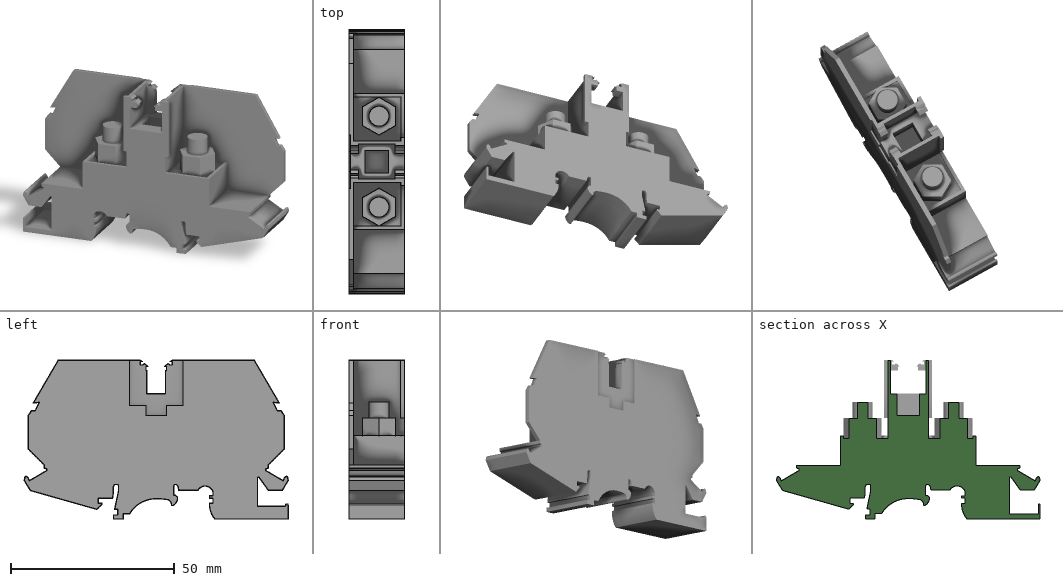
import cadquery as cq
import math


WIDTH = 17.0
LENGTH = 80.75
HEIGHT = 48.6
HALF_LENGTH = LENGTH / 2
WALL = 1.45

SHELF_TOP = 16.55
BLOCK_TOP = 25.5
BLOCK_HALF_LENGTH = 20.75

PARTITION_OUTER = 6.3
PARTITION_INNER = 5.3
CHANNEL_HALF = 2.8
CHANNEL_FLOOR = 38.35
POST_DEPTH = 3.0
HOOK_BOTTOM = 45.4
SOCKET_LENGTH_X = 7.1
SOCKET_LENGTH_Y = 6.9
SOCKET_DEPTH = 6.6

FLANGE_THICKNESS = 1.2
FLANGE_REACH = 7.35
FLANGE_BOTTOM = 30.85

RECESS_DEPTH = 0.5
RECESS_HALF = 8.15
RECESS_BOTTOM = 34.7
TONGUE_HALF = 3.1
TONGUE_BOTTOM = 31.7

POCKET_RIM = 1.05
POCKET_DEPTH = 0.8
NUT_FLATS = 10.0
NUT_TOP = 30.85
STUD_DIAMETER = 6.1
STUD_TOP = 35.8
STUD_X = 9.2
STUD_Y = 13.9

SLOT_FLOOR = 3.95
SLOT_INNER = 31.0
SLOT_ROOF = 12.75
SLOT_LIP_TOP = 4.7
SLOT_LIP = 0.7
TRAY_FLOOR = 1.6


def box(x0, x1, y0, y1, z0, z1):
    """Box between two corner positions."""
    return cq.Workplane("XY").box(x1 - x0, y1 - y0, z1 - z0, centered=False).translate((x0, y0, z0))


def on_both_sides(solid):
    """The solid together with its mirror image across the centre plane."""
    return solid.union(solid.mirror("XZ"))


def end_points(side):
    """(y, z) corners of one end, from the top edge down to the foot; side is +1 or -1 along Y."""
    half_profile = [
        (29.95, HEIGHT),
        (37.6, 35.45), (35.8, 35.7), (37.0, 33.2), (38.1, 33.2),
        (39.2, 31.65), (39.2, 21.5), (34.2, SHELF_TOP), (34.2, 15.6), (33.5, 15.35), (33.5, 14.85),
        (38.8, 11.8), (39.2, 12.75), (39.7, 13.2), (40.1, 12.9), (HALF_LENGTH, 11.9),
    ]
    return [(side * y, z) for y, z in half_profile]


def body_outline():
    """Closed outline of the whole part in the YZ plane, without the marker channel."""
    positive_end = end_points(1)
    negative_end = end_points(-1)
    outline = cq.Workplane("YZ").moveTo(*positive_end[0])
    outline = outline.polyline(positive_end[1:], includeCurrent=True)
    outline = outline.polyline([
        (38.4, 8.7), (18.2, 3.0), (16.6, 4.45), (16.6, 4.9), (17.7, 4.9), (17.7, 6.4),
        (13.3, 6.4), (13.1, 8.1), (13.1, 9.9), (12.75, 10.6), (11.7, 10.6), (11.55, 10.25),
        (11.55, 8.7), (12.75, 3.0), (11.8, 3.0), (11.8, 1.3), (13.1, 1.3), (13.1, 0),
        (10.0, 0), (10.0, 1.6), (8.15, 1.6),
    ], includeCurrent=True)
    outline = outline.threePointArc((5.6, 4.45), (0, 6.2))
    outline = outline.threePointArc((-2.0, 6.1), (-3.8, 5.9))
    outline = outline.threePointArc((-4.4, 5.3), (-4.6, 4.5))
    outline = outline.threePointArc((-5.0, 4.1), (-5.4, 4.4))
    outline = outline.threePointArc((-6.3, 5.4), (-6.55, 6.6))
    outline = outline.polyline([
        (-5.9, 7.35), (-5.4, 7.35), (-5.4, 10.25), (-5.6, 10.6), (-6.2, 10.6), (-6.6, 10.0),
        (-6.9, 8.8), (-12.75, 8.8),
    ], includeCurrent=True)
    outline = outline.threePointArc((-14.9, 10.1), (-17.3, 8.4))
    outline = outline.polyline([
        (-17.3, 7.2), (-16.2, 7.2), (-16.2, 6.4), (-17.3, 6.4), (-17.3, 4.9), (-16.2, 4.9), (-16.2, 4.0),
    ], includeCurrent=True)
    outline = outline.threePointArc((-16.7, 2.0), (-17.9, 0))
    outline = outline.polyline([
        (-HALF_LENGTH, 0), (-HALF_LENGTH, 4.1), (-40.2, SLOT_LIP_TOP),
        (-HALF_LENGTH + SLOT_LIP, SLOT_LIP_TOP), (-39.3, SLOT_FLOOR), (-SLOT_INNER, SLOT_FLOOR),
        (-SLOT_INNER, SLOT_ROOF), (-31.4, SLOT_ROOF), (-34.2, 8.8), (-38.5, 8.8),
    ], includeCurrent=True)
    outline = outline.polyline(negative_end[::-1], includeCurrent=True)
    return outline.close()


def space_above_body():
    """Everything behind the side wall above the shelves and blocks, beside the partitions."""
    above_shelf = box(WALL, WIDTH, BLOCK_HALF_LENGTH, HALF_LENGTH, SHELF_TOP, HEIGHT)
    above_block = box(WALL, WIDTH, PARTITION_OUTER, BLOCK_HALF_LENGTH, BLOCK_TOP, HEIGHT)
    flange = box(WIDTH - FLANGE_THICKNESS, WIDTH, PARTITION_OUTER, FLANGE_REACH, FLANGE_BOTTOM, HEIGHT)
    return on_both_sides(above_shelf.union(above_block).cut(flange))


def marker_channel():
    """Channel across the top with toothed sides, widened between the hook posts."""
    teeth = [
        (4.9, HEIGHT), (4.2, 48.1), (4.85, 48.1), (4.85, 47.15), (4.1, 47.15), (3.6, 47.6),
        (2.5, 46.7), (3.1, 46.6), (3.1, HOOK_BOTTOM), (CHANNEL_HALF, HOOK_BOTTOM),
        (CHANNEL_HALF, CHANNEL_FLOOR),
    ]
    mirrored_teeth = [(-y, z) for y, z in reversed(teeth)]
    channel = cq.Workplane("YZ").polyline(teeth + mirrored_teeth).close().extrude(WIDTH)
    far_post = WIDTH - POST_DEPTH
    between_posts = box(POST_DEPTH, far_post, -PARTITION_INNER, PARTITION_INNER, CHANNEL_FLOOR, HEIGHT)
    below_far_hooks = box(far_post, WIDTH, -PARTITION_INNER, PARTITION_INNER, CHANNEL_FLOOR, HOOK_BOTTOM)
    socket = (
        cq.Workplane("XY", origin=(WIDTH / 2, 0, CHANNEL_FLOOR - SOCKET_DEPTH))
        .rect(SOCKET_LENGTH_X, SOCKET_LENGTH_Y)
        .extrude(SOCKET_DEPTH)
    )
    return channel.union(between_posts).union(below_far_hooks).union(socket)


def label_recess():
    """Shallow T-shaped recess in the outer face of the side wall."""
    panel = box(0, RECESS_DEPTH, -RECESS_HALF, RECESS_HALF, RECESS_BOTTOM, HEIGHT)
    tongue = box(0, RECESS_DEPTH, -TONGUE_HALF, TONGUE_HALF, TONGUE_BOTTOM, RECESS_BOTTOM)
    return panel.union(tongue)


def nut_pockets():
    """Shallow pockets in the block tops, open to the side wall and the partitions."""
    pocket = box(
        WALL, WIDTH - POCKET_RIM,
        PARTITION_OUTER, BLOCK_HALF_LENGTH - POCKET_RIM,
        BLOCK_TOP - POCKET_DEPTH, BLOCK_TOP,
    )
    return on_both_sides(pocket)


def slot_tray():
    """Deeper floor of the end slot behind the side wall."""
    return box(WALL, WIDTH, -HALF_LENGTH + SLOT_LIP, -SLOT_INNER, TRAY_FLOOR, SLOT_LIP_TOP)


def nuts_and_studs():
    """Hexagon nut and plain stud on each block, nut corners pointing along Y."""
    base = cq.Workplane("XY", origin=(STUD_X, STUD_Y, BLOCK_TOP - POCKET_DEPTH))
    across_corners = NUT_FLATS / math.cos(math.pi / 6)
    nut = base.transformed(rotate=(0, 0, 90)).polygon(6, across_corners)
    nut = nut.extrude(NUT_TOP - BLOCK_TOP + POCKET_DEPTH)
    stud = base.circle(STUD_DIAMETER / 2).extrude(STUD_TOP - BLOCK_TOP + POCKET_DEPTH)
    return on_both_sides(nut.union(stud))


result = (
    body_outline()
    .extrude(WIDTH)
    .cut(space_above_body())
    .cut(marker_channel())
    .cut(label_recess())
    .cut(nut_pockets())
    .cut(slot_tray())
    .union(nuts_and_studs())
)